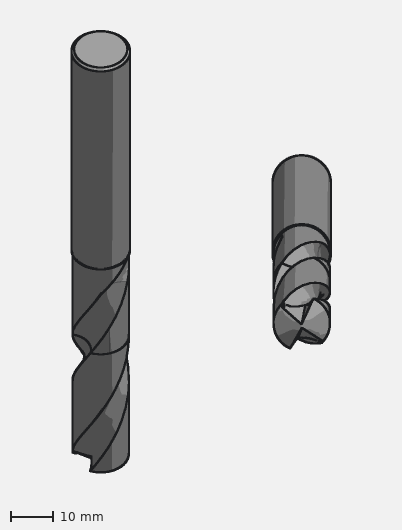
import cadquery as cq
import math

total_length = 134.0
shoulder_height = 68.9
joint_height = 41.0
flute_end_height = 60.5

shank_radius = 14.0 / 2
drill_radius = 13.4 / 2
shank_chamfer = 0.7
point_height = 2.5

flute_count = 2
flute_pitch = 76.6
core_radius = 3.9
flute_half_angle = 35.0
flute_end_azimuth = 17.0
runout_slope = 45.0
runout_length = 16.1
flute_start_height = -1.3

opening_reach = drill_radius * math.cos(math.radians(flute_half_angle))
flute_offset = (drill_radius**2 - core_radius**2) / (2 * (opening_reach - core_radius))
flute_radius = flute_offset - core_radius

gash_start = cq.Vector(0.1, -0.4, 0.1)
gash_end = cq.Vector(2.5, -3.4, 4.8)
gash_trailing_angle = 85.0
gash_leading_angle = 22.0
gash_wall = 5.4
gash_overrun = 1.3


def helical_flute():
    """Groove twisted up to flute_end_height, in its place for the first flute."""
    height = flute_end_height - flute_start_height
    twist = 360 * height / flute_pitch
    return (
        cq.Workplane("XY")
        .moveTo(flute_offset, 0)
        .circle(flute_radius)
        .twistExtrude(height, twist)
        .rotate((0, 0, 0), (0, 0, 1), flute_end_azimuth - twist)
        .translate((0, 0, flute_start_height))
    )


def flute_runout():
    """Straight groove that leaves the drill sideways above the end of the helix."""
    rise = runout_length * math.cos(math.radians(runout_slope))
    sideways = runout_length * math.sin(math.radians(runout_slope))
    section = cq.Wire.makeCircle(
        flute_radius, cq.Vector(flute_offset, 0, flute_end_height), cq.Vector(0, 0, 1)
    )
    groove = cq.Solid.extrudeLinear(section, [], cq.Vector(0, sideways, rise))
    return cq.Workplane(groove).rotate((0, 0, 0), (0, 0, 1), flute_end_azimuth)


def point_gash():
    """V-shaped prism along the bottom line of the gash, opening towards the point."""
    along = (gash_end - gash_start).normalized()
    level = cq.Vector(-along.y, along.x, 0)
    origin = gash_start - along * gash_overrun
    length = (gash_end - gash_start).Length + 2 * gash_overrun
    trailing = math.radians(gash_trailing_angle)
    leading = math.radians(gash_leading_angle)
    section = [
        (0, 0),
        (-gash_wall * math.sin(trailing), -gash_wall * math.cos(trailing)),
        (gash_wall * math.sin(leading), -gash_wall * math.cos(leading)),
    ]
    plane = cq.Plane(origin=origin, xDir=level, normal=along)
    return cq.Workplane(plane).polyline(section).close().extrude(length)


def cut_around(body, cutter):
    """Cut one copy of the cutter for each flute, spaced evenly about the axis."""
    for index in range(flute_count):
        angle = 360 * index / flute_count
        body = body.cut(cutter.rotate((0, 0, 0), (0, 0, 1), angle))
    return body


def make_holder():
    """Chamfered shank and the fluted neck below it."""
    neck = cq.Workplane("XY").workplane(offset=joint_height).circle(drill_radius)
    neck = neck.extrude(shoulder_height - joint_height)
    shank = cq.Workplane("XY").workplane(offset=shoulder_height).circle(shank_radius)
    shank = shank.extrude(total_length - shoulder_height)
    shank = shank.faces(">Z").chamfer(shank_chamfer)
    neck = cut_around(neck, helical_flute())
    neck = cut_around(neck, flute_runout())
    return shank.union(neck)


def make_cutting_part():
    """Fluted drill end with its gashed conical point."""
    outline = [(0, 0), (drill_radius, point_height), (drill_radius, joint_height), (0, joint_height)]
    blank = cq.Workplane("XZ").polyline(outline).close().revolve(360, (0, 0), (0, 1))
    fluted = cut_around(blank, helical_flute())
    return cut_around(fluted, point_gash())


holder = make_holder()
cutting_part = make_cutting_part()
result = cq.Compound.makeCompound([holder.val(), cutting_part.val()])